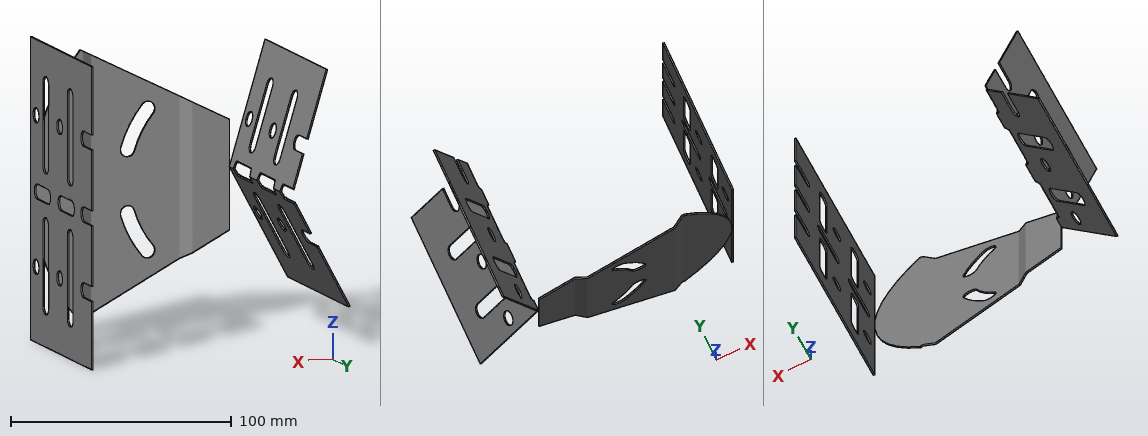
import cadquery as cq
import math

SHEET = 0.8
PLATE_WIDTH = 75.0
SLOT_WIDTH = 7.0
CUT_DEPTH = 2.8

HOLE_YS = (7.0, 36.0)
LONG_SLOT_YS = (18.9, 48.9)
CENTRE_SLOT_YS = (15.0, 44.1)
CENTRE_SLOT_LENGTH = 20.0
EDGE_SLOT_DEPTH = 13.0
LONG_SLOT_START = 10.1

PLATE_HEIGHT = 140.0
PLATE_LONG_SLOT = 45.0
PLATE_HOLE_DISTANCE = 35.0

FOLD_Z = 2.8
LEG_LENGTH = 60.2
UPPER_LEG_ANGLE = 16.8
LOWER_LEG_ANGLE = 28.2
LEG_LONG_SLOT = 35.3
LEG_HOLE_DISTANCE = 23.8

WEB_RADIUS = 96.2
WEB_Z = -0.8
WEB_SHORT_HALF = 25.6
WEB_TIP_HALF = 63.0
JOGGLE_OFFSET = 2.8
JOGGLE_RUN = 5.0
BEND_RADIUS = 1.19
JOGGLE_START = 18.0
JOGGLE_END = 71.4
ARC_SLOT_RADIUS = 50.7
ARC_SLOT_ANGLES = (17.0, 40.2)


def half_openings(plane, long_slot, hole_distance):
    """Cutters for one half of a plate; local X leaves the centre line, local Y is global Y."""

    def cut(sketch):
        return sketch.extrude(CUT_DEPTH, both=True)

    def at(points):
        return cq.Workplane(plane).pushPoints(points)

    long_slot_x = LONG_SLOT_START + long_slot / 2
    edge_points = [(0, PLATE_WIDTH), (hole_distance, PLATE_WIDTH)]
    return [
        cut(at([(hole_distance, y) for y in HOLE_YS]).circle(SLOT_WIDTH / 2)),
        cut(at([(long_slot_x, y) for y in LONG_SLOT_YS]).slot2D(long_slot, SLOT_WIDTH)),
        cut(at([(0, y) for y in CENTRE_SLOT_YS]).slot2D(CENTRE_SLOT_LENGTH, SLOT_WIDTH, 90)),
        cut(at(edge_points).slot2D(2 * EDGE_SLOT_DEPTH, SLOT_WIDTH, 90)),
    ]


def sheet_plane(origin, along):
    """Plane in a sheet whose local X is `along` and whose local Y is global Y."""
    return cq.Plane(origin=origin, xDir=along, normal=along.cross(cq.Vector(0, 1, 0)))


def make_flat_plate():
    plate = cq.Workplane("XY").box(SHEET, PLATE_WIDTH, PLATE_HEIGHT, centered=(False, False, True))
    plate = plate.translate((WEB_RADIUS, 0, 0))
    for side in (1, -1):
        plane = sheet_plane((WEB_RADIUS, 0, 0), cq.Vector(0, 0, side))
        for cutter in half_openings(plane, PLATE_LONG_SLOT, PLATE_HOLE_DISTANCE):
            plate = plate.cut(cutter)
    return plate


def make_folded_plate():
    upper_tilt = math.radians(UPPER_LEG_ANGLE)
    lower_tilt = math.radians(LOWER_LEG_ANGLE)
    upper = cq.Vector(-math.sin(upper_tilt), 0, math.cos(upper_tilt))
    lower = cq.Vector(-math.sin(lower_tilt), 0, -math.cos(lower_tilt))
    upper_inward = cq.Vector(-math.cos(upper_tilt), 0, -math.sin(upper_tilt))
    lower_inward = cq.Vector(-math.cos(lower_tilt), 0, math.sin(lower_tilt))

    outer_fold = cq.Vector(0, 0, FOLD_Z)
    bisector = upper_inward + lower_inward
    inner_fold = outer_fold + bisector * (SHEET / bisector.dot(upper_inward))
    upper_tip = outer_fold + upper * LEG_LENGTH
    lower_tip = outer_fold + lower * LEG_LENGTH
    outline = [
        outer_fold,
        upper_tip,
        upper_tip + upper_inward * SHEET,
        inner_fold,
        lower_tip + lower_inward * SHEET,
        lower_tip,
    ]
    plate = (
        cq.Workplane("XZ")
        .polyline([(corner.x, corner.z) for corner in outline])
        .close()
        .extrude(-PLATE_WIDTH)
    )
    for along in (upper, lower):
        plane = sheet_plane(outer_fold, along)
        for cutter in half_openings(plane, LEG_LONG_SLOT, LEG_HOLE_DISTANCE):
            plate = plate.cut(cutter)
    return plate


def make_arc_slot(side):
    """Curved slot concentric with the rounded end; `side` is +1 above, -1 below."""

    def polar(radius, degrees):
        angle = math.radians(degrees)
        return (radius * math.cos(angle), WEB_Z + side * radius * math.sin(angle))

    start, end = ARC_SLOT_ANGLES
    middle = (start + end) / 2
    inner = ARC_SLOT_RADIUS - SLOT_WIDTH / 2
    outer = ARC_SLOT_RADIUS + SLOT_WIDTH / 2
    cap_angle = math.degrees(SLOT_WIDTH / 2 / ARC_SLOT_RADIUS)
    return (
        cq.Workplane("XZ")
        .moveTo(*polar(inner, start))
        .threePointArc(polar(inner, middle), polar(inner, end))
        .threePointArc(polar(ARC_SLOT_RADIUS, end + cap_angle), polar(outer, end))
        .threePointArc(polar(outer, middle), polar(outer, start))
        .threePointArc(polar(ARC_SLOT_RADIUS, start - cap_angle), polar(inner, start))
        .close()
        .extrude(2 * CUT_DEPTH, both=True)
    )


def make_web():
    mid_line = [
        (-CUT_DEPTH, 0),
        (JOGGLE_START, 0),
        (JOGGLE_START + JOGGLE_RUN, -JOGGLE_OFFSET),
        (JOGGLE_END - JOGGLE_RUN, -JOGGLE_OFFSET),
        (JOGGLE_END, 0),
        (WEB_RADIUS + CUT_DEPTH, 0),
    ]
    bend_line = cq.Wire.makePolygon([cq.Vector(x, y) for x, y in mid_line])
    bend_line = bend_line.fillet(BEND_RADIUS, bend_line.Vertices()[1:-1])
    sheet = (
        cq.Workplane("XY")
        .newObject([bend_line])
        .toPending()
        .offset2D(SHEET / 2)
        .extrude(PLATE_HEIGHT / 2, both=True)
    )

    tip_x = math.sqrt(WEB_RADIUS**2 - WEB_TIP_HALF**2)
    outline = (
        cq.Workplane("XZ")
        .moveTo(0, WEB_Z + WEB_SHORT_HALF)
        .lineTo(tip_x, WEB_Z + WEB_TIP_HALF)
        .threePointArc((WEB_RADIUS, WEB_Z), (tip_x, WEB_Z - WEB_TIP_HALF))
        .lineTo(0, WEB_Z - WEB_SHORT_HALF)
        .close()
        .extrude(2 * CUT_DEPTH, both=True)
    )
    web = sheet.intersect(outline)
    for side in (1, -1):
        web = web.cut(make_arc_slot(side))
    return web


flat_plate = make_flat_plate()
folded_plate = make_folded_plate()
web = make_web()

bodies = [flat_plate, folded_plate, web]
result = cq.Compound.makeCompound([body.solids().val() for body in bodies])